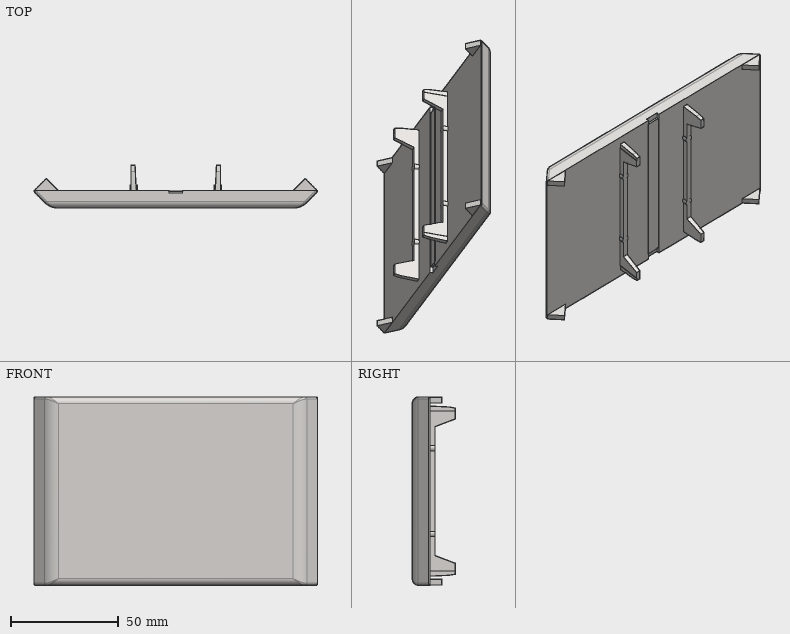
import cadquery as cq

length = 131.8
height = 87.6
plate_depth = 8.3
rim_land = 0.7
end_radius = 9.0
long_edge_radius = 3.2
bevel_edge_radius = 1.0

tab_rise = 5.5
tab_end_gap = 0.3
tab_thickness = 2.8
tab_inset = 0.1

rib_outer_x = 20.8
rib_inner_x = 18.3
hook_tip_inner_x = 18.8
rib_top_y = 10.7
hook_tip_y = 20.0
hook_kink_y = 17.0
hook_root_z = 39.5
hook_kink_z = 39.1
hook_tip_z = 38.6
hook_tip_inner_z = 33.5
hook_inner_z = 29.9
lip_start_z = 37.2
lip_step = 0.1

pin_radius = 1.7
pin_z = 19.9

channel_width = 6.3
channel_depth = 0.4
channel_end_depth = 1.3
channel_end_length = 2.9

overlap = 0.7
half_length = length / 2
half_height = height / 2


def mirror_copies(shape):
    """Return the shape united with its mirror images in X and in Z."""
    both_sides = shape.union(shape.mirror("YZ"))
    return both_sides.union(both_sides.mirror("XY"))


def make_plate():
    bevel = plate_depth - rim_land
    front_half_length = half_length - bevel
    blank = (
        cq.Workplane("XY")
        .polyline([
            (-half_length, plate_depth),
            (half_length, plate_depth),
            (half_length, bevel),
            (front_half_length, 0),
            (-front_half_length, 0),
            (-half_length, bevel),
        ])
        .close()
        .extrude(half_height, both=True)
        .edges("|Z and <Y")
        .fillet(end_radius)
    )
    envelope = (
        cq.Workplane("XY")
        .box(length, plate_depth, height)
        .translate((0, plate_depth / 2, 0))
        .edges("|X and <Y")
        .fillet(long_edge_radius)
    )
    plate = blank.intersect(envelope)

    return plate.edges("not(|X or |Z)").fillet(bevel_edge_radius)


def make_tab():
    tab_center = half_length - tab_end_gap - tab_rise
    return (
        cq.Workplane("XY", origin=(0, 0, half_height - tab_inset - tab_thickness))
        .polyline([
            (tab_center + tab_rise, plate_depth),
            (tab_center - tab_rise, plate_depth),
            (tab_center, plate_depth + tab_rise),
        ])
        .close()
        .extrude(tab_thickness)
    )


def make_rib():
    root_y = plate_depth - overlap
    side_profile = (
        cq.Workplane("YZ")
        .polyline([
            (root_y, 0),
            (rib_top_y, 0),
            (rib_top_y, hook_inner_z),
            (hook_tip_y, hook_tip_inner_z),
            (hook_tip_y, hook_tip_z),
            (hook_kink_y, hook_kink_z),
            (plate_depth, hook_root_z),
            (root_y, hook_root_z),
        ])
        .close()
        .extrude(half_length)
    )
    drafted_wall = (
        cq.Workplane("XY")
        .polyline([
            (rib_outer_x, root_y),
            (rib_outer_x, hook_tip_y),
            (hook_tip_inner_x, hook_tip_y),
            (rib_inner_x, plate_depth),
            (rib_inner_x, root_y),
        ])
        .close()
        .extrude(hook_root_z)
    )
    lip_relief = (
        cq.Workplane("XY")
        .box(lip_step, hook_tip_y, half_height, centered=False)
        .translate((rib_outer_x - lip_step, plate_depth, lip_start_z))
    )
    return side_profile.intersect(drafted_wall).cut(lip_relief)


def make_pin():
    pin_x = (rib_outer_x + rib_inner_x) / 2
    return (
        cq.Workplane("XZ", origin=(pin_x, rib_top_y, pin_z))
        .circle(pin_radius)
        .extrude(rib_top_y - plate_depth + overlap)
    )


def make_channel():
    channel = (
        cq.Workplane("XY")
        .box(channel_width, channel_depth, height)
        .translate((0, plate_depth - channel_depth / 2, 0))
    )
    for side in (-1, 1):
        end = cq.Workplane("XY").box(channel_width, channel_end_depth, channel_end_length)
        end_z = side * (half_height - channel_end_length / 2)
        channel = channel.union(end.translate((0, plate_depth - channel_end_depth / 2, end_z)))
    return channel


raised_features = mirror_copies(make_tab().union(make_rib()).union(make_pin()))
result = make_plate().union(raised_features).cut(make_channel())